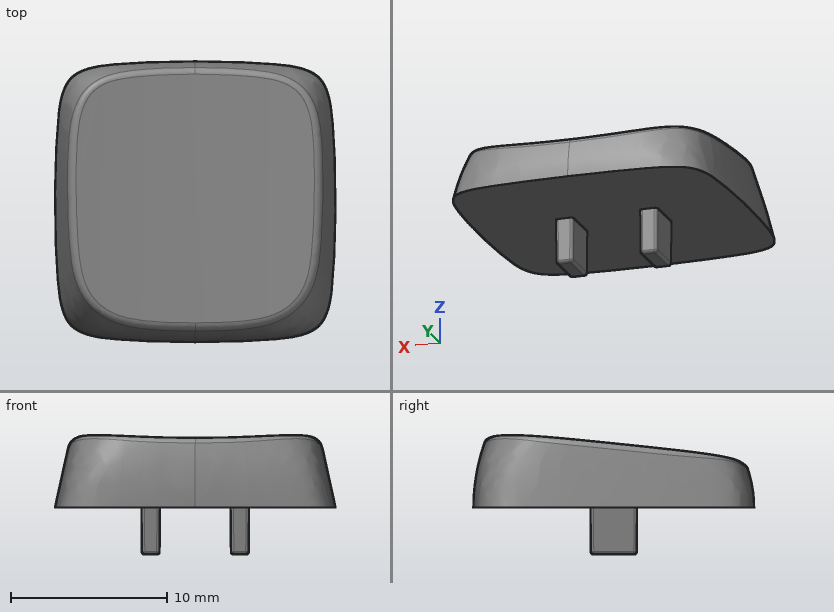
import cadquery as cq
import math

BASE_WIDTH = 17.98
BASE_DEPTH = 18.0
SIDE_SLOPE = 0.22
FRONT_CURL = 0.04167
BACK_CURL = 0.06667
SIDE_BULGE = 0.055
BASE_SQUARENESS = 9.0
SQUARENESS_LOSS = 1.0
SECTION_HEIGHTS = (0.0, 1.62, 3.24, 4.86)
POINTS_PER_HALF = 24

DISH_RADIUS = 63.0
DISH_TILT = 6.0
DISH_BOTTOM = 3.65
RIM_FILLET = 0.5

STEM_ROOT_WIDTH = 1.2
STEM_ROOT_DEPTH = 3.0
STEM_DRAFT = 0.4
STEM_LENGTH = 3.0
STEM_SPACING = 5.7
STEM_FILLET = 0.2
STEM_OVERLAP = 0.9


def section_wire(height):
    """Closed superellipse outline with bulged sides, in a right and a left half meeting at X = 0."""
    half_width = BASE_WIDTH / 2 - SIDE_SLOPE * height
    y_front = -BASE_DEPTH / 2 + FRONT_CURL * height**2
    y_back = BASE_DEPTH / 2 - BACK_CURL * height**2
    y_middle = (y_front + y_back) / 2
    half_depth = (y_back - y_front) / 2
    power = BASE_SQUARENESS - SQUARENESS_LOSS * height

    def outline_point(angle):
        across = math.sin(angle)
        along = -math.cos(angle)
        reach = (abs(across) ** power + abs(along) ** power) ** (-1 / power)
        x_share = reach * across
        y_share = reach * along
        x = half_width * x_share * (1 - SIDE_BULGE * y_share**2)
        y = y_middle + half_depth * y_share * (1 - SIDE_BULGE * x_share**2)
        return cq.Vector(x, y, height)

    def half_outline(start_angle, end_angle, direction):
        step = (end_angle - start_angle) / POINTS_PER_HALF
        points = [outline_point(start_angle + i * step) for i in range(POINTS_PER_HALF + 1)]
        tangents = [cq.Vector(direction, 0, 0), cq.Vector(-direction, 0, 0)]
        return cq.Edge.makeSpline(points, tangents=tangents)

    right_half = half_outline(0, math.pi, 1)
    left_half = half_outline(math.pi, 2 * math.pi, -1)
    return cq.Wire.assembleEdges([right_half, left_half])


def cap_body():
    walls = cq.Solid.makeLoft([section_wire(height) for height in SECTION_HEIGHTS])
    dish_length = 2 * BASE_DEPTH
    dish = (
        cq.Workplane("XZ")
        .center(0, DISH_RADIUS)
        .circle(DISH_RADIUS)
        .extrude(dish_length / 2, both=True)
        .rotate((0, 0, 0), (1, 0, 0), -DISH_TILT)
        .translate((0, 0, DISH_BOTTOM))
    )
    cap = cq.Workplane(walls).cut(dish)
    return cap.faces("%CYLINDER").edges().fillet(RIM_FILLET)


def stem(x_position):
    return (
        cq.Workplane("XY")
        .workplane(offset=STEM_OVERLAP)
        .center(x_position, 0)
        .rect(STEM_ROOT_WIDTH, STEM_ROOT_DEPTH)
        .extrude(-(STEM_LENGTH + STEM_OVERLAP), taper=STEM_DRAFT)
        .edges("not >Z")
        .fillet(STEM_FILLET)
    )


result = cap_body()
for side in (-1, 1):
    result = result.union(stem(side * STEM_SPACING / 2))